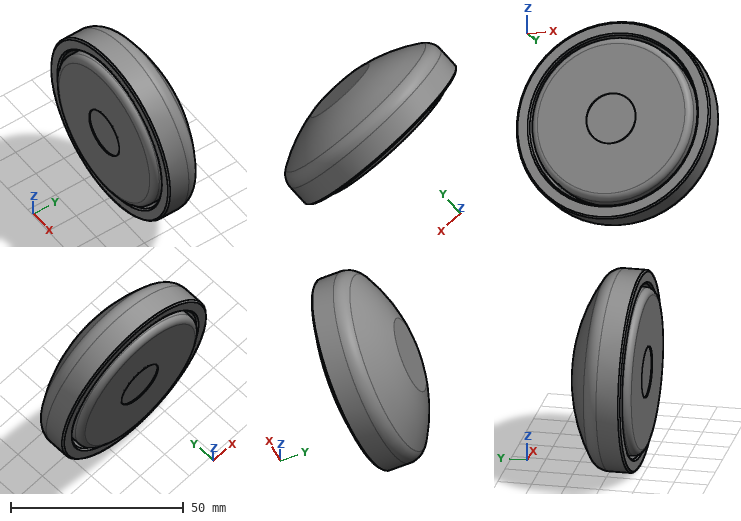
import cadquery as cq
import math


housing_radius = 29.5
rim_chamfer = 0.5
edge_start_y = 7.0
edge_radius = 5.0
dome_radius = 50.0
dome_top_y = 18.0

recess_radius = 25.5
mouth_chamfer = 0.5
recess_depth = 5.0
floor_fillet = 0.5

pad_radius = 24.5
pad_protrusion = 1.9
pad_fillet = 2.0
dimple_radius = 7.5
dimple_depth = 0.35


def arc_point(center, radius, angle):
    """Point on a circle in the (radial, axial) plane, angle measured from the radial direction."""
    return (center[0] + radius * math.cos(angle), center[1] + radius * math.sin(angle))


def make_housing():
    edge_center = (housing_radius - edge_radius, edge_start_y)
    center_distance = dome_radius - edge_radius
    tangent_angle = math.acos(edge_center[0] / center_distance)
    dome_center = (0, edge_start_y - center_distance * math.sin(tangent_angle))
    cap_angle = math.asin((dome_top_y - dome_center[1]) / dome_radius)
    floor_corner = (recess_radius - floor_fillet, recess_depth - floor_fillet)
    return (
        cq.Workplane("XY")
        .moveTo(0, recess_depth)
        .lineTo(floor_corner[0], recess_depth)
        .threePointArc(
            arc_point(floor_corner, floor_fillet, math.pi / 4),
            (recess_radius, floor_corner[1]),
        )
        .lineTo(recess_radius, mouth_chamfer)
        .lineTo(recess_radius + mouth_chamfer, 0)
        .lineTo(housing_radius - rim_chamfer, 0)
        .lineTo(housing_radius, rim_chamfer)
        .lineTo(housing_radius, edge_start_y)
        .threePointArc(
            arc_point(edge_center, edge_radius, tangent_angle / 2),
            arc_point(edge_center, edge_radius, tangent_angle),
        )
        .threePointArc(
            arc_point(dome_center, dome_radius, (tangent_angle + cap_angle) / 2),
            arc_point(dome_center, dome_radius, cap_angle),
        )
        .lineTo(0, dome_top_y)
        .close()
        .revolve(360, (0, 0, 0), (0, 1, 0))
    )


def make_pad():
    front_y = -pad_protrusion
    fillet_center = (pad_radius - pad_fillet, front_y + pad_fillet)
    return (
        cq.Workplane("XY")
        .moveTo(0, recess_depth)
        .lineTo(pad_radius, recess_depth)
        .lineTo(pad_radius, fillet_center[1])
        .threePointArc(
            arc_point(fillet_center, pad_fillet, -math.pi / 4),
            (fillet_center[0], front_y),
        )
        .lineTo(dimple_radius, front_y)
        .lineTo(dimple_radius, front_y + dimple_depth)
        .lineTo(0, front_y + dimple_depth)
        .close()
        .revolve(360, (0, 0, 0), (0, 1, 0))
    )


housing = make_housing()
pad = make_pad()
result = cq.Compound.makeCompound([housing.val(), pad.val()])